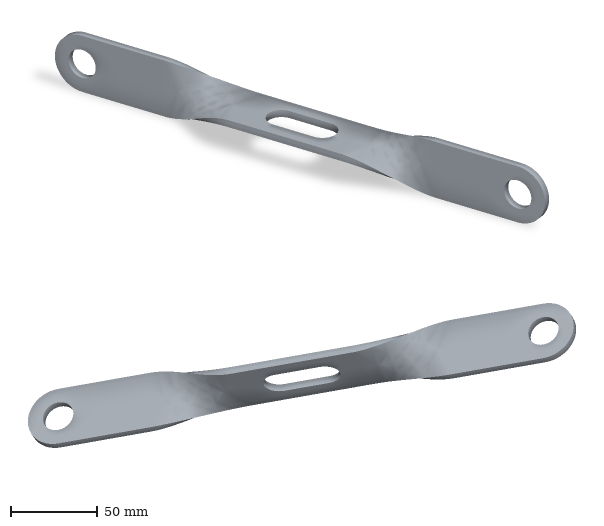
import cadquery as cq


bar_length = 333.49
bar_width = 37.06

half_width = bar_width / 2
bar_thickness = half_width / 4
half_thickness = bar_thickness / 2

middle_length = 4 * half_width
twist_length = 3 * half_width
twist_start = middle_length / 2
twist_end = twist_start + twist_length
eye_center = bar_length / 2 - half_width

eye_diameter = half_width
slot_width = half_width
slot_length = 2.5 * half_width


def middle_plate():
    """Flat plate lying in XY with a lengthwise slot."""
    plate = cq.Workplane("XY").box(middle_length, bar_width, bar_thickness)
    slot = cq.Workplane("XY").slot2D(slot_length, slot_width).extrude(half_thickness, both=True)
    return plate.cut(slot)


def eye_plate():
    """Upright plate at the +X end, with a full-round tip and a concentric eye."""
    outline = (
        cq.Workplane("XZ")
        .moveTo(twist_end, -half_width)
        .lineTo(eye_center, -half_width)
        .threePointArc((eye_center + half_width, 0), (eye_center, half_width))
        .lineTo(twist_end, half_width)
        .close()
    )
    plate = outline.extrude(half_thickness, both=True)
    eye = (
        cq.Workplane("XZ")
        .center(eye_center, 0)
        .circle(eye_diameter / 2)
        .extrude(half_thickness, both=True)
    )
    return plate.cut(eye)


def twist_edge(start, end):
    """Cubic edge between two (y, z) corners, running along X where it meets both plates."""
    third = twist_length / 3
    return cq.Edge.makeBezier([
        cq.Vector(twist_start, *start),
        cq.Vector(twist_start + third, *start),
        cq.Vector(twist_end - third, *end),
        cq.Vector(twist_end, *end),
    ])


def end_face(x, corners):
    """Flat rectangular face across the bar at the given x."""
    points = [cq.Vector(x, *corner) for corner in corners]
    return cq.Face.makeFromWires(cq.Wire.makePolygon(points, close=True))


def twist():
    """Quarter twist on the +X side; the +Y edge of the flat plate rises to +Z."""
    flat_corners = [
        (half_width, half_thickness),
        (half_width, -half_thickness),
        (-half_width, -half_thickness),
        (-half_width, half_thickness),
    ]
    upright_corners = [(-z, y) for y, z in flat_corners]

    edges = [twist_edge(start, end) for start, end in zip(flat_corners, upright_corners)]
    next_edges = edges[1:] + edges[:1]
    faces = [cq.Face.makeRuledSurface(edge, neighbour) for edge, neighbour in zip(edges, next_edges)]
    faces.append(end_face(twist_start, flat_corners))
    faces.append(end_face(twist_end, upright_corners))
    return cq.Workplane("XY").newObject([cq.Solid.makeSolid(cq.Shell.makeShell(faces))])


side = twist().union(eye_plate())
bar = middle_plate().union(side).union(side.mirror("YZ"))
result = bar.solids()